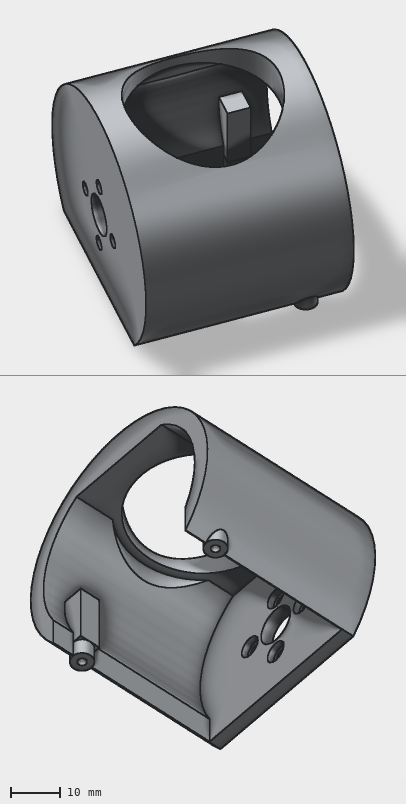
import cadquery as cq

outer_radius = 27.5
length = 45.0
height = 45.6
wall = 4.0
front_wall = 3.0
ceiling_z = 19.4

window_diameter = 33.0
window_relief_diameter = 36.8
base_opening_width = 41.0
shaft_hole_diameter = 9.0
screw_hole_diameter = 3.0
screw_circle_radius = 8.0
screw_count = 4
counterbore_diameter = 5.0
counterbore_depth = 1.55

post_width = 5.0
post_x = 20.7
post_from_rear = 7.95
foot_height = 4.0
pilot_diameter = 2.0
pilot_depth = 10.0

base_z = outer_radius - height
front_y = -length / 2
rear_y = length / 2
post_height = -base_z
post_y = rear_y - post_from_rear


def cylinder_along_y(radius, start_y, end_y):
    plane = cq.Workplane("XZ", origin=(0, start_y, 0))
    return plane.circle(radius).extrude(start_y - end_y)


def slab(bottom_z, top_z):
    """Slab that covers the whole housing between two heights."""
    plane = cq.Workplane("XY", origin=(0, 0, bottom_z))
    return plane.rect(2 * outer_radius, length).extrude(top_z - bottom_z)


def housing():
    body = cylinder_along_y(outer_radius, front_y, rear_y)
    body = body.intersect(slab(base_z, outer_radius))
    cavity = cylinder_along_y(outer_radius - wall, front_y + front_wall, rear_y)
    cavity = cavity.intersect(slab(-outer_radius, ceiling_z))
    base_plane = cq.Workplane("XY", origin=(0, front_wall / 2, base_z))
    base_opening = base_plane.rect(base_opening_width, length - front_wall).extrude(-base_z)
    return body.cut(cavity).cut(base_opening)


def post_centers(z):
    plane = cq.Workplane("XY", origin=(0, 0, z))
    return plane.pushPoints([(-post_x, post_y), (post_x, post_y)])


def add_posts(body):
    feet = post_centers(base_z).circle(post_width / 2).extrude(foot_height)
    blocks = post_centers(base_z + foot_height).rect(post_width, post_width)
    blocks = blocks.extrude(post_height - foot_height)
    pilots = post_centers(base_z).circle(pilot_diameter / 2).extrude(pilot_depth)
    return body.union(feet).union(blocks).cut(pilots)


def top_window():
    """Round window, widened below the flat ceiling."""
    through = cq.Workplane("XY").circle(window_diameter / 2).extrude(outer_radius)
    relief = cq.Workplane("XY").circle(window_relief_diameter / 2).extrude(ceiling_z)
    return through.union(relief)


def front_holes():
    """Shaft hole and a ring of screw holes counterbored from inside."""
    face = cq.Workplane("XZ", origin=(0, front_y, 0))
    shaft = face.circle(shaft_hole_diameter / 2).extrude(-front_wall)
    screw_centers = face.polarArray(screw_circle_radius, 0, 360, screw_count)
    screws = screw_centers.circle(screw_hole_diameter / 2).extrude(-front_wall)
    inner_face = cq.Workplane("XZ", origin=(0, front_y + front_wall, 0))
    counterbore_centers = inner_face.polarArray(screw_circle_radius, 0, 360, screw_count)
    counterbores = counterbore_centers.circle(counterbore_diameter / 2).extrude(counterbore_depth)
    return shaft.union(screws).union(counterbores)


result = add_posts(housing()).cut(top_window()).cut(front_holes())